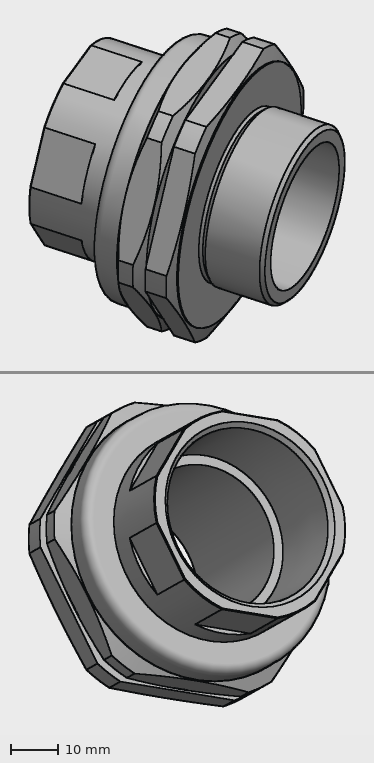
import cadquery as cq
import math

SOCKET_FLATS_END = 12.1
FLANGE_START = 18.0
FLANGE_END = 24.1
FIRST_NUT_END = 31.0
SECOND_NUT_START = 32.25
SECOND_NUT_END = 38.0
WASHER_FACE_END = 38.3
GROOVE_BOTTOM = 39.0
SPIGOT_START = 40.05
TOTAL_LENGTH = 53.65

SOCKET_RADIUS = 22.95
SOCKET_FLAT_DISTANCE = 22.0
SOCKET_EDGE_CHAMFER = 0.2
FLANGE_RADIUS = 29.8
FLANGE_FILLET = 2.05
COLLAR_RADIUS = 26.0
WASHER_FACE_RADIUS = 29.5
GROOVE_SHOULDER_RADIUS = 19.65
GROOVE_RADIUS = 19.05
SPIGOT_RADIUS = 20.05
SPIGOT_CHAMFER = 0.85

NUT_ACROSS_FLATS = 60.0
NUT_CORNER_RADIUS = 33.0
FIRST_NUT_FRONT_CHAMFER = 1.85
FIRST_NUT_BACK_CHAMFER = 1.65
FIRST_NUT_CHAMFER_DROP = 3.1
SECOND_NUT_CHAMFER = 0.8

BORE_RADIUS = 16.4
SOCKET_MOUTH_RADIUS = 20.3
SOCKET_BORE_RADIUS = 19.25
SOCKET_BOTTOM_RADIUS = 18.6
MOUTH_CHAMFER = 1.05
SOCKET_DEPTH = 19.8


def turned(profile):
    """Revolve an (x, radius) outline about the X axis."""
    return cq.Workplane("XY").polyline(profile).close().revolve(360, (0, 0, 0), (1, 0, 0))


def cylinder(start, end, radius):
    return cq.Workplane("YZ", origin=(start, 0, 0)).circle(radius).extrude(end - start)


def hexagon(start, end, across_flats):
    """Hexagonal prism along X with two flats facing up and down."""
    across_corners = across_flats / math.cos(math.pi / 6)
    return cq.Workplane("YZ", origin=(start, 0, 0)).polygon(6, across_corners).extrude(end - start)


def make_socket():
    flatted = cylinder(0, SOCKET_FLATS_END, SOCKET_RADIUS).intersect(
        hexagon(0, SOCKET_FLATS_END, 2 * SOCKET_FLAT_DISTANCE)
    )
    flatted = flatted.faces("<X").chamfer(SOCKET_EDGE_CHAMFER)
    return flatted.union(cylinder(SOCKET_FLATS_END, FLANGE_START, SOCKET_RADIUS))


def make_flange():
    flange = cylinder(FLANGE_START, FLANGE_END, FLANGE_RADIUS)
    return flange.faces("<X").edges().fillet(FLANGE_FILLET)


def make_first_nut():
    edge_radius = NUT_CORNER_RADIUS - FIRST_NUT_CHAMFER_DROP
    envelope = turned([
        (FLANGE_END, 0),
        (FLANGE_END, edge_radius),
        (FLANGE_END + FIRST_NUT_FRONT_CHAMFER, NUT_CORNER_RADIUS),
        (FIRST_NUT_END - FIRST_NUT_BACK_CHAMFER, NUT_CORNER_RADIUS),
        (FIRST_NUT_END, edge_radius),
        (FIRST_NUT_END, 0),
    ])
    return envelope.intersect(hexagon(FLANGE_END, FIRST_NUT_END, NUT_ACROSS_FLATS))


def make_second_nut():
    envelope = turned([
        (SECOND_NUT_START, 0),
        (SECOND_NUT_START, NUT_CORNER_RADIUS),
        (SECOND_NUT_END - SECOND_NUT_CHAMFER, NUT_CORNER_RADIUS),
        (SECOND_NUT_END, WASHER_FACE_RADIUS),
        (WASHER_FACE_END, WASHER_FACE_RADIUS),
        (WASHER_FACE_END, 0),
    ])
    return envelope.intersect(hexagon(SECOND_NUT_START, WASHER_FACE_END, NUT_ACROSS_FLATS))


def make_spigot():
    """Plain spigot with a V-shaped relief groove next to the second nut."""
    return turned([
        (WASHER_FACE_END, 0),
        (WASHER_FACE_END, GROOVE_SHOULDER_RADIUS),
        (GROOVE_BOTTOM, GROOVE_RADIUS),
        (SPIGOT_START, SPIGOT_RADIUS),
        (TOTAL_LENGTH - SPIGOT_CHAMFER, SPIGOT_RADIUS),
        (TOTAL_LENGTH, SPIGOT_RADIUS - SPIGOT_CHAMFER),
        (TOTAL_LENGTH, 0),
    ])


def make_bore():
    return turned([
        (0, 0),
        (0, SOCKET_MOUTH_RADIUS),
        (MOUTH_CHAMFER, SOCKET_BORE_RADIUS),
        (SOCKET_DEPTH, SOCKET_BOTTOM_RADIUS),
        (SOCKET_DEPTH, BORE_RADIUS),
        (TOTAL_LENGTH, BORE_RADIUS),
        (TOTAL_LENGTH, 0),
    ])


collar = cylinder(FIRST_NUT_END, SECOND_NUT_START, COLLAR_RADIUS)

result = (
    make_socket()
    .union(make_flange())
    .union(make_first_nut())
    .union(collar)
    .union(make_second_nut())
    .union(make_spigot())
    .cut(make_bore())
)